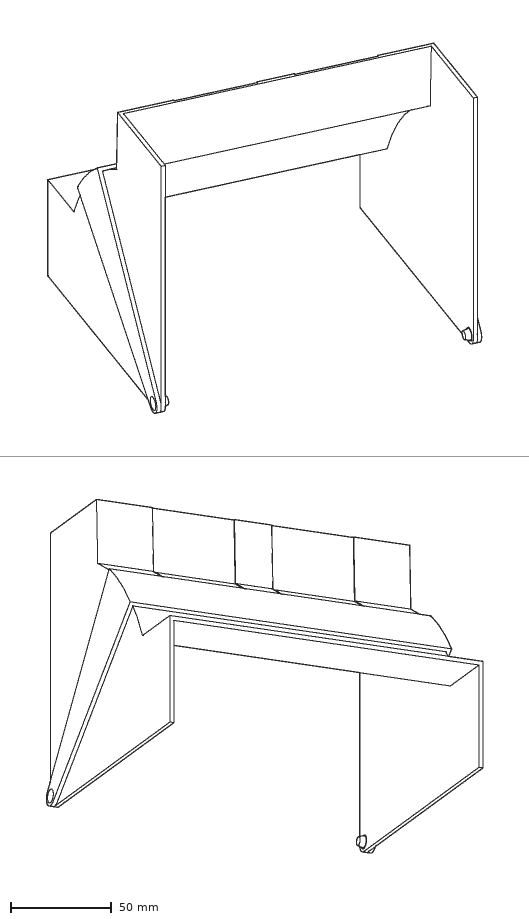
import cadquery as cq
import math

total_width = 174.6
wall = 2.3
hub_radius = 5.0
leg_reach = 145.0
leg_depth = 55.9
bend_radius = 118.0
draft_offset = 1.4
cover_skin = 2.1
cover_corner_angle = 36.4

panel_inner_edge = 10.1
panel_width = 44.5
panel_depth = 0.7
panel_bend_depth = 0.3

pin_radius = 3.5
pin_collar_length = 0.7
pin_collar_radius = 3.0
pin_tip_radius = 2.3
pin_projection = 3.0

housing_width = total_width - 2 * wall
inner_width = housing_width - 2 * wall
leg_end = leg_reach - hub_radius
leg_face = leg_depth - hub_radius
cover_radius = bend_radius + cover_skin
diagonal = math.sqrt(0.5)


def polar(radius, angle):
    """Point at an angle measured up from -X about the hinge."""
    turn = math.radians(angle)
    return (-radius * math.cos(turn), radius * math.sin(turn))


def extrude_across(profile, width):
    """Extrude an XZ profile symmetrically across Y."""
    return profile.extrude(width / 2, both=True)


def bend_profile(inset, upright_inset, upright_bend_inset):
    """Closed outline of the two legs and bend, with the outer skin moved inward."""
    radius = bend_radius - inset
    face = leg_face - inset
    upright_top = leg_face - upright_inset
    upright_foot = upright_top + draft_offset
    upright_radius = bend_radius - upright_bend_inset
    bend_start = (-math.sqrt(radius**2 - face**2), face)
    bend_end = (-upright_foot, math.sqrt(upright_radius**2 - upright_foot**2))
    profile = cq.Workplane("XZ").moveTo(-leg_end, -hub_radius).lineTo(-leg_end, face).lineTo(*bend_start)
    profile = profile.threePointArc(polar(radius, 40), polar(radius, 45))
    if upright_bend_inset != inset:
        profile = profile.lineTo(*polar(upright_radius, 45))
    profile = profile.threePointArc(polar(upright_radius, 50), bend_end)
    return (
        profile.lineTo(-upright_top, leg_end)
        .lineTo(hub_radius, leg_end)
        .lineTo(hub_radius, 0)
        .threePointArc((hub_radius * diagonal, -hub_radius * diagonal), (0, -hub_radius))
        .close()
    )


def pin_hole():
    return extrude_across(cq.Workplane("XZ").circle(pin_radius), total_width)


def make_housing():
    outside = extrude_across(bend_profile(0, 0, 0), housing_width)
    inside = extrude_across(bend_profile(wall, wall, wall), inner_width)
    body = outside.cut(inside)
    full = extrude_across(bend_profile(0, 0, 0), panel_width)
    thinned = extrude_across(bend_profile(0, panel_depth, panel_bend_depth), panel_width)
    panel_skin = full.cut(thinned)
    for side in (-1, 1):
        panel_center = side * (panel_inner_edge + panel_width / 2)
        body = body.cut(panel_skin.translate((0, panel_center, 0)))
    return body.cut(pin_hole())


def cover_profile(radius):
    """Sector whose straight edges are tangent to the hub."""
    lower_corner = polar(radius, cover_corner_angle)
    upper_corner = polar(radius, 90 - cover_corner_angle)
    tangent_turn = math.degrees(math.acos(hub_radius / radius))
    lower_tangent = polar(hub_radius, cover_corner_angle - tangent_turn)
    upper_tangent = polar(hub_radius, 90 - cover_corner_angle + tangent_turn)
    return (
        cq.Workplane("XZ")
        .moveTo(*lower_tangent)
        .lineTo(*lower_corner)
        .threePointArc(polar(radius, 45), upper_corner)
        .lineTo(*upper_tangent)
        .threePointArc((hub_radius * diagonal, -hub_radius * diagonal), lower_tangent)
        .close()
    )


def make_cover():
    outside = extrude_across(cover_profile(cover_radius), total_width)
    inside = extrude_across(cq.Workplane("XZ").circle(bend_radius), housing_width)
    return outside.cut(inside).cut(pin_hole())


def make_pin(side):
    """Pin flush with the cover outside, its tapered tip inside the housing."""
    outer_face = total_width / 2
    inner_face = inner_width / 2
    collar_face = inner_face - pin_collar_length
    tip_face = inner_face - pin_projection
    pin = (
        cq.Workplane("XY")
        .moveTo(0, outer_face)
        .lineTo(pin_radius, outer_face)
        .lineTo(pin_radius, inner_face)
        .lineTo(pin_collar_radius, inner_face)
        .lineTo(pin_collar_radius, collar_face)
        .lineTo(pin_tip_radius, tip_face)
        .lineTo(0, tip_face)
        .close()
        .revolve(360, (0, 0, 0), (0, 1, 0))
    )
    return pin if side > 0 else pin.mirror("XZ")


housing = make_housing()
cover = make_cover()
pins = [make_pin(side) for side in (-1, 1)]

result = cq.Compound.makeCompound([housing.val(), cover.val(), *[pin.val() for pin in pins]])